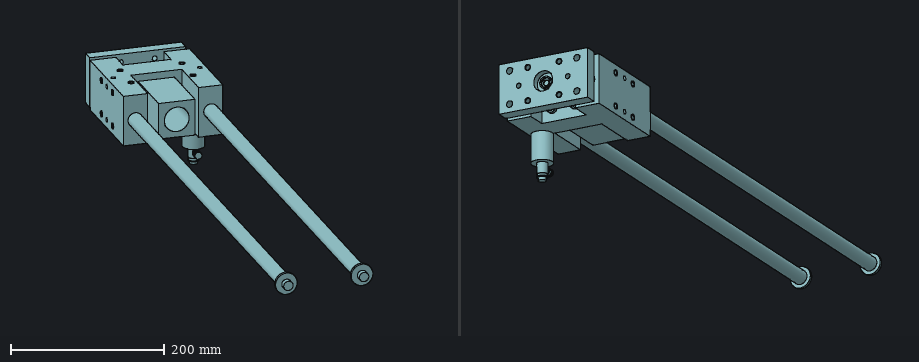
import cadquery as cq


plate_thickness = 18
plate_width = 132
unit_height = 69.5

rod_diameter = 20
rod_spacing = 104
rod_end_x = 794
stop_diameter = 30
stop_thickness = 4
stop_screw_diameter = 13
overall_length = 806

housing_width = 137
housing_front_x = 27
housing_back_x = 166
web_front_x = 56.5
web_back_x = 95.5
front_gap_width = 66
back_gap_width = 70

clamp_width = 50
clamp_height = 50
clamp_back_x = 181
clamp_bore_diameter = 34
clamp_port_diameter = 4.13
clamp_port_depth = 6
clamp_port_x = 169.5
clamp_port_z = -20

web_screw_diameter = 13
web_screw_height = 4.5
web_screw_pitch = 34
web_screw_socket_diameter = 8
web_screw_socket_depth = 4

thread_diameter = 8
thread_core_diameter = 6.65
thread_depth = 16
thread_entry_depth = 1
dowel_diameter = 6
dowel_depth = 10
mounting_pitch = 46.5
mounting_x = (housing_front_x + housing_back_x) / 2
top_thread_spacing = 85
top_dowel_spacing = 119

corner_hole_diameter = 9
corner_hole_spacing = 100
middle_hole_spacing = 73

coupling_recess_diameter = 28
coupling_recess_depth = 10
coupling_diameter = 18
coupling_end_x = 26
coupling_head_diameter = 17
coupling_head_height = 4
coupling_socket_diameter = 13
coupling_socket_depth = 2
coupling_bore_diameter = 8.2
stud_diameter = 8.2
stud_end_x = 33.5

actuator_x = 92.5
actuator_y = rod_spacing / 2
overall_height = 134.16
actuator_steps = (
    (30, -75),
    (15, -90.5),
    (13, -94),
    (15, -95),
    (11, unit_height / 2 - overall_height),
)
fitting_z = -81.5
fitting_steps = (
    (7, 102),
    (8, 104),
    (10, 109),
    (9, 111),
    (10, 114),
)


def pair(spacing):
    """Two positions at equal distances either side of the centre."""
    return (-spacing / 2, spacing / 2)


def mirrored(spacing_a, spacing_b):
    """Four points at the corners of a centred rectangle."""
    return [(a, b) for a in pair(spacing_a) for b in pair(spacing_b)]


def rod_along_x(diameter, start_x, end_x, y=0, z=0):
    """A cylinder along X between two X positions."""
    return cq.Workplane("YZ", origin=(start_x, y, z)).circle(diameter / 2).extrude(end_x - start_x)


def box_between(start_x, end_x, width, height):
    """A box centred on the X axis between two X positions."""
    return cq.Workplane("YZ", origin=(start_x, 0, 0)).rect(width, height).extrude(end_x - start_x)


def threaded_holes(face, points):
    """Blind threaded holes cut down from a workplane, with the thread's full width at the mouth."""
    cores = face.pushPoints(points).circle(thread_core_diameter / 2).extrude(-thread_depth)
    mouths = face.pushPoints(points).circle(thread_diameter / 2).extrude(-thread_entry_depth)
    return cores.union(mouths)


def dowel_holes(face, points):
    """Blind dowel holes cut down from a workplane."""
    return face.pushPoints(points).circle(dowel_diameter / 2).extrude(-dowel_depth)


def make_housing():
    housing = box_between(housing_front_x, housing_back_x, housing_width, unit_height)
    housing = housing.cut(box_between(housing_front_x, web_front_x, front_gap_width, unit_height))
    housing = housing.cut(box_between(web_back_x, housing_back_x, back_gap_width, unit_height))

    housing = housing.union(box_between(web_back_x, clamp_back_x, clamp_width, clamp_height))
    port_face = cq.Workplane("XZ", origin=(clamp_port_x, -clamp_width / 2, clamp_port_z))
    housing = housing.cut(port_face.circle(clamp_port_diameter / 2).extrude(-clamp_port_depth))

    housing = housing.cut(rod_along_x(clamp_bore_diameter, web_front_x, clamp_back_x))

    for y, z in mirrored(web_screw_pitch, web_screw_pitch):
        head_x = web_front_x - web_screw_height
        socket_end_x = head_x + web_screw_socket_depth
        housing = housing.union(rod_along_x(web_screw_diameter, head_x, web_front_x, y, z))
        housing = housing.cut(rod_along_x(web_screw_socket_diameter, head_x, socket_end_x, y, z))

    for y in pair(rod_spacing):
        housing = housing.cut(rod_along_x(rod_diameter, housing_front_x, housing_back_x, y))

    top = cq.Workplane("XY", origin=(mounting_x, 0, unit_height / 2))
    housing = housing.cut(threaded_holes(top, mirrored(mounting_pitch, top_thread_spacing)))
    housing = housing.cut(dowel_holes(top, [(0, y) for y in pair(top_dowel_spacing)]))

    side_thread_points = mirrored(mounting_pitch, mounting_pitch)
    side_dowel_points = [(0, z) for z in pair(mounting_pitch)]
    near_side = cq.Workplane("XZ", origin=(mounting_x, -housing_width / 2, 0))
    side_holes = threaded_holes(near_side, side_thread_points)
    side_holes = side_holes.union(dowel_holes(near_side, side_dowel_points))
    housing = housing.cut(side_holes).cut(side_holes.mirror("XZ"))

    return housing.union(make_actuator())


def make_actuator():
    """The stepped clamping cylinder with a fitting on its neck."""
    actuator = cq.Workplane()
    upper_z = -unit_height / 2
    for diameter, lower_z in actuator_steps:
        step = cq.Workplane("XY", origin=(actuator_x, actuator_y, lower_z))
        actuator = actuator.union(step.circle(diameter / 2).extrude(upper_z - lower_z))
        upper_z = lower_z

    inner_x = actuator_x
    for diameter, outer_x in fitting_steps:
        actuator = actuator.union(rod_along_x(diameter, inner_x, outer_x, actuator_y, fitting_z))
        inner_x = outer_x
    return actuator


def make_yoke():
    yoke = box_between(0, plate_thickness, plate_width, unit_height)

    yoke = yoke.cut(rod_along_x(coupling_recess_diameter, 0, coupling_recess_depth))
    head_x = coupling_recess_depth - coupling_head_height
    yoke = yoke.union(rod_along_x(coupling_head_diameter, head_x, coupling_recess_depth))
    yoke = yoke.union(rod_along_x(coupling_diameter, coupling_recess_depth, coupling_end_x))
    yoke = yoke.union(rod_along_x(stud_diameter, coupling_end_x, stud_end_x))
    socket_x = head_x + coupling_socket_depth
    yoke = yoke.cut(rod_along_x(coupling_socket_diameter, head_x, socket_x))
    yoke = yoke.cut(rod_along_x(coupling_bore_diameter, socket_x, coupling_recess_depth))

    front = cq.Workplane("YZ")
    corners = front.pushPoints(mirrored(corner_hole_spacing, mounting_pitch))
    yoke = yoke.cut(corners.circle(corner_hole_diameter / 2).extrude(plate_thickness))
    inner = front.pushPoints(mirrored(mounting_pitch, mounting_pitch))
    yoke = yoke.cut(inner.circle(thread_diameter / 2).extrude(thread_entry_depth))
    yoke = yoke.cut(inner.circle(thread_core_diameter / 2).extrude(plate_thickness))
    middle = front.pushPoints([(y, 0) for y in pair(middle_hole_spacing)])
    yoke = yoke.cut(middle.circle(thread_core_diameter / 2).extrude(plate_thickness))

    for y in pair(rod_spacing):
        stop_end_x = rod_end_x + stop_thickness
        yoke = yoke.union(rod_along_x(rod_diameter, plate_thickness, rod_end_x, y))
        yoke = yoke.union(rod_along_x(stop_diameter, rod_end_x, stop_end_x, y))
        yoke = yoke.union(rod_along_x(stop_screw_diameter, stop_end_x, overall_length, y))
    return yoke


housing = make_housing()
yoke = make_yoke()

result = cq.Compound.makeCompound([housing.val(), yoke.val()])